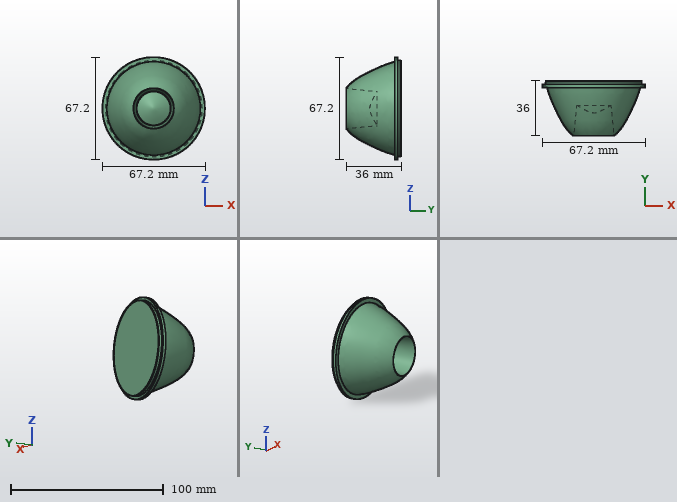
import cadquery as cq

flange_radius = 33.6
flange_thickness = 2.0
overall_length = 36.0
body_length = 31.65

mouth_radius = 13.3
body_base_radius = 30.6
wall_points = [(16.65, 3.2), (19.9, 7.6), (24.2, 15.6), (27.55, 22.9)]

band_base_radius = 31.65
band_radius = 31.45
exit_face_height = 0.55
exit_face_inset = 0.15

mouth_rim_width = 0.15
pocket_depth = 20.15
pocket_floor_radius = 11.2
lens_ledge_width = 0.2
lens_points = [(8.2, 3.15), (2.8, 0.6)]
lens_height = 5.0
lens_edge_slope = 0.7


def turned(profile):
    """Turn a closed half profile, drawn as (radius, Y), about the Y axis."""
    return profile.close().revolve(360, (0, 0, 0), (0, 1, 0))


def make_body():
    flange_back = body_length + flange_thickness
    band_back = overall_length - exit_face_height
    exit_face_radius = band_radius - exit_face_inset
    return turned(
        cq.Workplane("XY")
        .lineTo(mouth_radius, 0)
        .spline(wall_points + [(body_base_radius, body_length)], includeCurrent=True)
        .lineTo(flange_radius, body_length)
        .lineTo(flange_radius, flange_back)
        .lineTo(band_base_radius, flange_back)
        .lineTo(band_radius, band_back)
        .lineTo(exit_face_radius, band_back)
        .lineTo(exit_face_radius, overall_length)
        .lineTo(0, overall_length)
    )


def make_pocket():
    """Tapered pocket whose floor bulges toward the mouth as a convex lens."""
    lens_radius = pocket_floor_radius - lens_ledge_width
    lens_tip = pocket_depth - lens_height
    lens_curve = [(radius, lens_tip + drop) for radius, drop in lens_points]
    lens_edge_direction = (-1, -lens_edge_slope)
    lens_tip_direction = (-1, 0)
    return turned(
        cq.Workplane("XY")
        .lineTo(mouth_radius - mouth_rim_width, 0)
        .lineTo(pocket_floor_radius, pocket_depth)
        .lineTo(lens_radius, pocket_depth)
        .spline(
            lens_curve + [(0, lens_tip)],
            tangents=[lens_edge_direction, lens_tip_direction],
            includeCurrent=True,
        )
    )


result = make_body().cut(make_pocket())